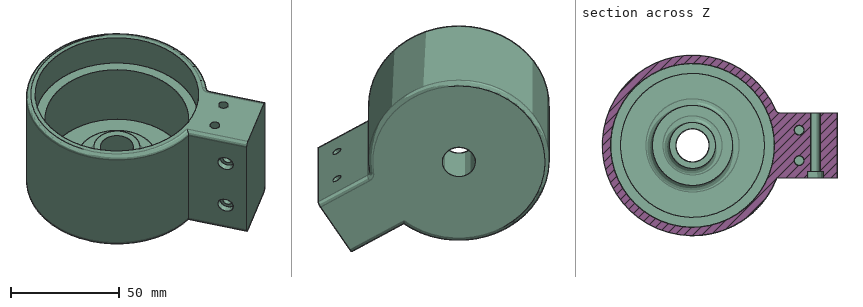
import cadquery as cq
import math

height = 56.5
outer_radius = 83.15 / 2
upper_bore_radius = 75.15 / 2
lower_bore_radius = 66.15 / 2
upper_bore_depth = 16.0
floor_thickness = 9.0
edge_radius = 2.0

large_hub_radius = 36.83 / 2
small_hub_radius = 21.15 / 2
hub_hole_radius = 15.15 / 2
hub_step_height = 7.0
hub_fillet = 3.0

block_width = 30.0
block_end_x = 108.14 - outer_radius
corner_fillet = 2.0

cross_hole_diameter = 4.2
counterbore_diameter = 7.3
counterbore_depth = 3.0
cross_hole_x = 56.5
cross_hole_spacing = 26.5

top_hole_diameter = 4.33
top_hole_depth = 20.0
top_hole_x = 49.0
top_hole_spacing = 14.0


def make_outer_body():
    """Solid cylinder and block, with the +Y junction and the long edges rounded."""
    cylinder = cq.Workplane("XY").circle(outer_radius).extrude(height)
    block = cq.Workplane("XY").box(
        block_end_x, block_width, height, centered=(False, True, False)
    )
    body = cylinder.union(block)

    junction_x = math.sqrt(outer_radius**2 - (block_width / 2) ** 2)
    junction = cq.selectors.NearestToPointSelector((junction_x, block_width / 2, height / 2))
    body = body.edges("|Z").edges(junction).fillet(corner_fillet)

    rims = body.faces("<Z or >Z").edges().filter(
        lambda edge: edge.Center().x < block_end_x - edge_radius
    )
    return rims.fillet(edge_radius)


def make_cavity():
    """Revolved stepped bore whose floor carries the two-step hub and the centre hole."""
    large_hub_z = floor_thickness + hub_step_height
    small_hub_z = large_hub_z + hub_step_height
    ledge_z = height - upper_bore_depth
    profile = (
        cq.Workplane("XZ")
        .lineTo(hub_hole_radius, 0)
        .lineTo(hub_hole_radius, small_hub_z)
        .lineTo(small_hub_radius, small_hub_z)
        .lineTo(small_hub_radius, large_hub_z + hub_fillet)
        .radiusArc((small_hub_radius + hub_fillet, large_hub_z), -hub_fillet)
        .lineTo(large_hub_radius, large_hub_z)
        .lineTo(large_hub_radius, floor_thickness + hub_fillet)
        .radiusArc((large_hub_radius + hub_fillet, floor_thickness), -hub_fillet)
        .lineTo(lower_bore_radius, floor_thickness)
        .lineTo(lower_bore_radius, ledge_z)
        .lineTo(upper_bore_radius, ledge_z)
        .lineTo(upper_bore_radius, height)
        .lineTo(0, height)
        .close()
    )
    return profile.revolve(360, (0, 0, 0), (0, 1, 0))


def cut_cross_holes(body):
    """Two counterbored through holes along Y, spaced evenly about mid height."""
    return (
        body.copyWorkplane(cq.Workplane("XZ", origin=(cross_hole_x, -block_width / 2, height / 2)))
        .rarray(1, cross_hole_spacing, 1, 2)
        .cboreHole(cross_hole_diameter, counterbore_diameter, counterbore_depth, block_width)
    )


def cut_top_holes(body):
    """Two flat-bottomed blind holes down from the top of the block."""
    return (
        body.copyWorkplane(cq.Workplane("XY", origin=(top_hole_x, 0, height)))
        .rarray(1, top_hole_spacing, 1, 2)
        .hole(top_hole_diameter, top_hole_depth)
    )


result = make_outer_body().cut(make_cavity())
result = cut_cross_holes(result)
result = cut_top_holes(result)